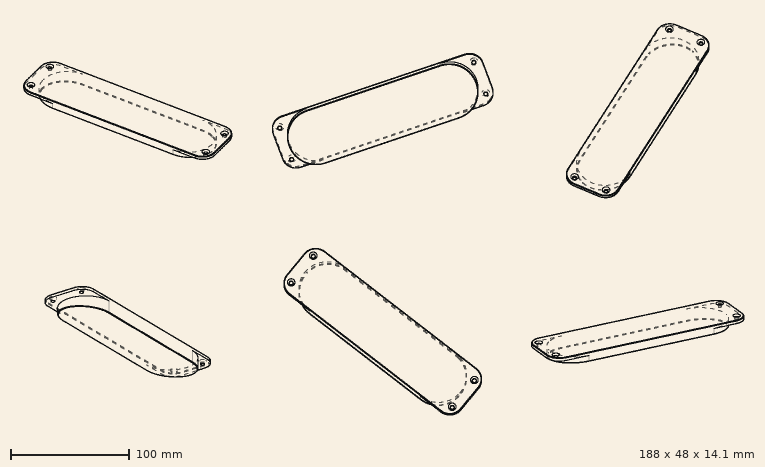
import cadquery as cq

plate_length = 188.0
width = 48.0
plate_thickness = 3.0
corner_radius = 12.0
edge_break = 0.5

body_length = 168.0
front_depth = 8.5
overall_height = 14.1
underside_slope = (overall_height - front_depth) / width
back_depth = overall_height + edge_break * underside_slope

hole_diameter = 3.4
countersink_diameter = 6.4
countersink_angle = 90
hole_end_distance = 7.0
hole_spacing_y = 29.9


def make_plate():
    """Rounded plate with a small bevel around its top face."""
    plate = cq.Workplane("XY").box(plate_length, width, plate_thickness, centered=(True, True, False))
    plate = plate.translate((0, 0, -plate_thickness))
    plate = plate.edges("|Z").fillet(corner_radius)
    return plate.faces(">Z").edges().chamfer(edge_break)


def make_body():
    """Round-ended body whose bevelled underside slopes down toward +Y."""
    outline = cq.Workplane("XY").slot2D(body_length, width).extrude(-back_depth)
    half_width = width / 2
    wedge = (
        cq.Workplane("YZ")
        .polyline([
            (-half_width, -plate_thickness),
            (half_width, -plate_thickness),
            (half_width, -back_depth),
            (-half_width, -front_depth),
        ])
        .close()
        .extrude(body_length / 2, both=True)
    )
    body = outline.intersect(wedge)
    return body.faces("<Z").edges().chamfer(edge_break)


def drill_screw_holes(part):
    """Four through holes, countersunk from the top face."""
    hole_spacing_x = plate_length - 2 * hole_end_distance
    return (
        part.faces(">Z")
        .workplane(origin=(0, 0, 0))
        .rarray(hole_spacing_x, hole_spacing_y, 2, 2)
        .cskHole(hole_diameter, countersink_diameter, countersink_angle, depth=plate_thickness)
    )


plate = drill_screw_holes(make_plate())
result = plate.union(make_body())